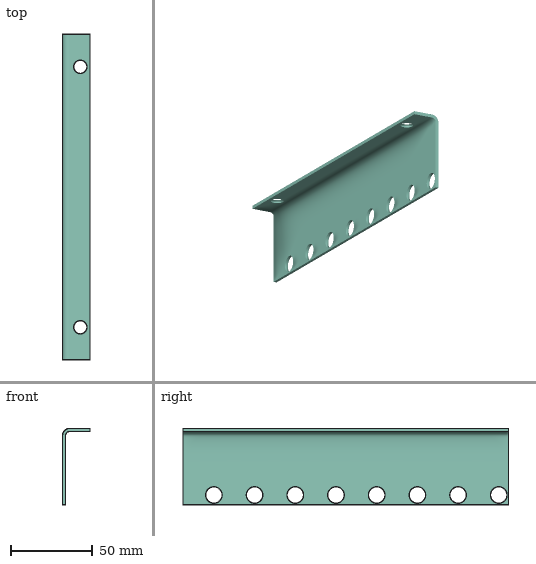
import cadquery as cq

flange_width = 17.0
length = 200.0
web_height = 47.0
thickness = 2.0
bend_outer_radius = 4.5
bend_inner_radius = bend_outer_radius - thickness

web_hole_diameter = 10.0
web_hole_count = 8
web_hole_pitch = 25.0
web_hole_height = 6.0
web_hole_end_distance = 6.0

flange_hole_diameter = 8.0
flange_hole_end_distance = 20.0
flange_hole_x = 11.0


def bent_strip():
    """L section with a rounded bend, centred along Y; outer web face at X=0, bottom at Z=0."""
    outer = (
        cq.Workplane("XY")
        .box(flange_width, length, web_height, centered=(False, True, False))
        .edges("|Y and <X and >Z")
        .fillet(bend_outer_radius)
    )
    inner = (
        cq.Workplane("XY")
        .box(flange_width, length, web_height, centered=(False, True, False))
        .edges("|Y and <X and >Z")
        .fillet(bend_inner_radius)
        .translate((thickness, 0, -thickness))
    )
    return outer.cut(inner)


def web_holes():
    """Cutters along X for the evenly spaced web holes."""
    first_y = length / 2 - web_hole_end_distance
    centres = [(first_y - i * web_hole_pitch, web_hole_height) for i in range(web_hole_count)]
    return cq.Workplane("YZ").pushPoints(centres).circle(web_hole_diameter / 2).extrude(thickness)


def flange_holes():
    """Cutters along Z for the two flange holes, one near each end."""
    hole_y = length / 2 - flange_hole_end_distance
    centres = [(flange_hole_x, side * hole_y) for side in (-1, 1)]
    return (
        cq.Workplane("XY", origin=(0, 0, web_height - thickness))
        .pushPoints(centres)
        .circle(flange_hole_diameter / 2)
        .extrude(thickness)
    )


result = bent_strip().cut(web_holes()).cut(flange_holes())